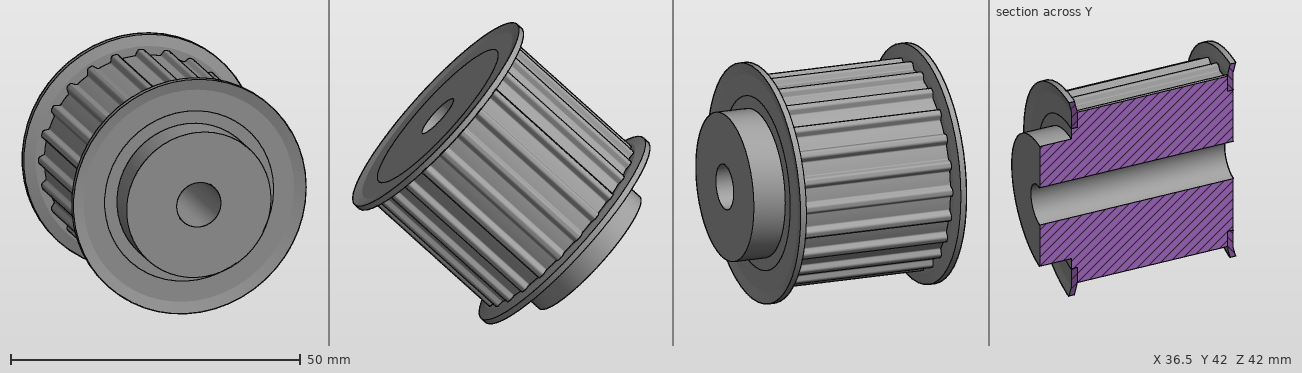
import cadquery as cq
import math


total_length = 36.55
belt_width = 28.0

flange_radius = 21.0
flange_disc_radius = 19.0
flange_sheet = 1.1
rim_lean = 0.45
flange_depth = flange_sheet + rim_lean
flanged_length = belt_width + 2 * flange_depth

bore_radius = 4.0
seat_radius = 15.25
hub_radius = 13.0

tooth_count = 24
tooth_pitch_angle = 2 * math.pi / tooth_count
tip_radius = 18.5
root_radius = 17.45
tip_half_width = 0.55
flank_angle = math.radians(25)
root_half_width = tip_half_width + (tip_radius - root_radius) * math.tan(flank_angle)
tip_fillet = 0.5
root_fillet = 0.3


def polar_point(radius, angle):
    """Point in the YZ plane at a radius and an angle from +Y towards +Z."""
    return (radius * math.cos(angle), radius * math.sin(angle))


def disc_along_x(radius, start, end):
    """Solid cylinder on the X axis from x = start to x = end."""
    return cq.Workplane("YZ", origin=(start, 0, 0)).circle(radius).extrude(end - start)


def edges_at_radius(toothed, radius):
    """Lengthwise edges of the toothed barrel that lie at the given radius."""
    tolerance = 0.005

    def lies_at_radius(edge):
        centre = edge.Center()
        return abs(math.hypot(centre.y, centre.z) - radius) < tolerance

    return toothed.edges("|X").filter(lies_at_radius)


def make_toothed_barrel():
    """Barrel with straight-flanked teeth, rounded at the tip and at the root."""
    tip_half_angle = math.asin(tip_half_width / tip_radius)
    root_half_angle = math.asin(root_half_width / root_radius)

    outline = cq.Workplane("YZ", origin=(flange_depth, 0, 0))
    outline = outline.moveTo(*polar_point(root_radius, -root_half_angle))
    for tooth in range(tooth_count):
        middle = tooth * tooth_pitch_angle
        next_middle = middle + tooth_pitch_angle
        outline = outline.lineTo(*polar_point(tip_radius, middle - tip_half_angle))
        outline = outline.threePointArc(
            polar_point(tip_radius, middle),
            polar_point(tip_radius, middle + tip_half_angle),
        )
        outline = outline.lineTo(*polar_point(root_radius, middle + root_half_angle))
        outline = outline.threePointArc(
            polar_point(root_radius, middle + tooth_pitch_angle / 2),
            polar_point(root_radius, next_middle - root_half_angle),
        )
    barrel = outline.close().extrude(belt_width)

    barrel = edges_at_radius(barrel, tip_radius).fillet(tip_fillet)
    return edges_at_radius(barrel, root_radius).fillet(root_fillet)


def make_core():
    """Toothed barrel, flange seats at both ends and the hub, bored through."""
    seats = disc_along_x(seat_radius, rim_lean, flanged_length - rim_lean)
    hub = disc_along_x(hub_radius, flanged_length - flange_depth, total_length)
    bore = disc_along_x(bore_radius, 0, total_length)
    return make_toothed_barrel().union(seats).union(hub).cut(bore)


def make_flange(edge_x, inward):
    """Dished ring with its rim edge at edge_x; inward is +1 or -1, the X direction to the belt."""
    profile = [
        (edge_x + inward * rim_lean, seat_radius),
        (edge_x + inward * rim_lean, flange_disc_radius),
        (edge_x, flange_radius),
        (edge_x + inward * flange_sheet, flange_radius),
        (edge_x + inward * flange_depth, flange_disc_radius),
        (edge_x + inward * flange_depth, seat_radius),
    ]
    return cq.Workplane("XY").polyline(profile).close().revolve(360, (0, 0, 0), (1, 0, 0))


core = make_core()
flanges = [make_flange(edge_x, inward) for edge_x, inward in ((0, 1), (flanged_length, -1))]

result = cq.Compound.makeCompound([core.val(), *[flange.val() for flange in flanges]])